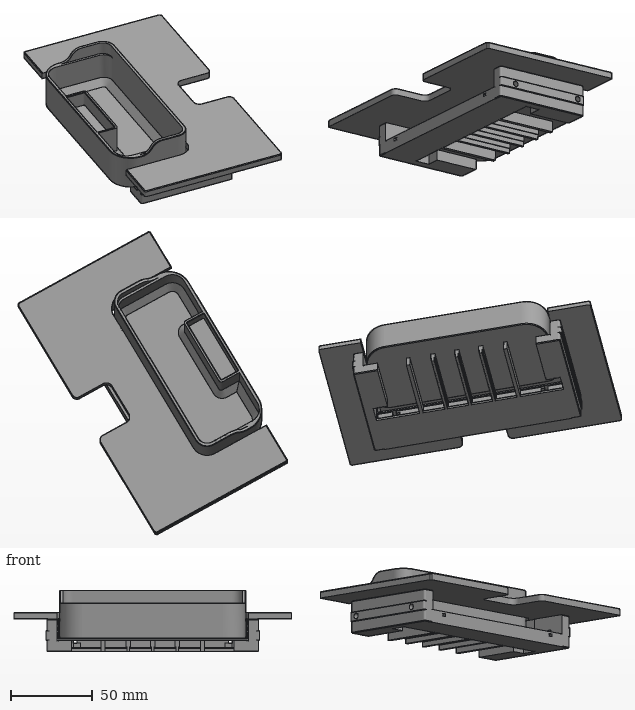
import cadquery as cq
import math

CLEARANCE = 1.61
EDGE_BREAK = 0.5
CORNER_ROUND = 1.2

TRAY_WIDTH = 113.8
TRAY_BACK = 48.9
TRAY_FRONT = 96.8
TRAY_BOTTOM = 7.8
TRAY_TOP = 37.5
TRAY_FRONT_TOP = 29.7
TRAY_BACK_RADIUS = 8.0
TRAY_FRONT_RADIUS = 14.0
TRAY_WALL = 2.0
RIM_BREAK = 0.3
TRAY_LOW_SIDE_WALL = 3.5
TRAY_FLOOR = 8.8
FLOOR_SLOPE = 4.2
SLOPE_ANGLE = 45.0
CAVITY_BACK_RADIUS = 6.0
CAVITY_FRONT_RADIUS = 8.5
RIM_DROP_START = 68.3
RIM_DROP_END = 81.8

BLOCK_WIDTH = 45.2
BLOCK_BACK = 81.3
BLOCK_WALL = 1.5
BLOCK_RADIUS = 1.7
BLOCK_BACK_SLOPE = 3.7
POCKET_RADIUS = 0.5
POCKET_FLOOR = 20.4

DOME_DIAMETER = 10.2
DOME_HEIGHT = 1.0
DOME_FROM_BACK = 71.7
DOME_LEVEL = 14.0

PLATE_WIDTH = 169.8
PLATE_DEPTH = 93.4
PLATE_BOTTOM = 20.0
PLATE_TOP = 24.1
PLATE_BACK_CHAMFER = 0.8
NOTCH_WIDTH = 28.5
NOTCH_DEPTH = 24.0
NOTCH_MOUTH_RADIUS = 3.0
NOTCH_INNER_RADIUS = 4.0

FRAME_WIDTH = 129.4
FRAME_BACK = 24.0
FRAME_FRONT = 86.1
LEDGE_TOP = 6.8
LEDGE_INNER_HALF = 49.5
RAIL_OUT = 0.7
RAIL_BOTTOM = 7.0
RAIL_TOP = 12.9
RAIL_CHAMFER = 0.3
SIDE_HOLE_DIAMETER = 3.4
SIDE_HOLE_LEVEL = 10.0
SIDE_HOLES_FROM_BACK = (34.8, 81.2)
SLAB_TOP = 8.0
SLAB_CHANNEL_HALF = 57.7
SLAB_RECESS = 0.8
LIP_HEIGHT = 1.9
LIP_CHAMFER = 0.7
TUNNEL_OUTER_HALF = 48.5
TUNNEL_INNER_HALF = 46.4
TUNNEL_BOTTOM = 5.3
SLAB_POCKET_INNER_HALF = 44.1
SLAB_POCKET_DEPTH = 1.7
INNER_RIB_OFFSETS = (-15.0, 0, 15.0)
OUTER_RIB_OFFSETS = (-30.4, 30.4)
OUTER_RIB_WIDTH = 2.2
INNER_RIB_WIDTH = 2.7
INNER_RIB_FOOT_WIDTH = 1.7
RIB_FOOT_HEIGHT = 2.9

OPENING_HALF = TRAY_WIDTH / 2 + CLEARANCE
OPENING_BACK = TRAY_BACK - CLEARANCE
OPENING_RADIUS = TRAY_BACK_RADIUS + CLEARANCE


def box(x0, x1, back, front, bottom, top):
    """Box between two X values, two distances from the back edge and two levels."""
    return (
        cq.Workplane("XY")
        .box(x1 - x0, front - back, top - bottom, centered=False)
        .translate((x0, -front, bottom))
    )


def rounded_box(half_width, back, front, bottom, top, back_radius, front_radius):
    """Box centred on X whose back and front vertical corners have their own radii."""
    block = box(-half_width, half_width, back, front, bottom, top)
    block = block.edges("|Z and >Y").fillet(back_radius)
    return block.edges("|Z and <Y").fillet(front_radius)


def both_sides(half):
    """A feature on the -X side together with its mirror image."""
    return half.union(half.mirror("YZ"))


def rim_cutter():
    """Everything above the rim: an S of two equal tangent arcs joins the back and front levels."""
    drop = TRAY_TOP - TRAY_FRONT_TOP
    run = RIM_DROP_END - RIM_DROP_START
    half_angle = math.atan2(drop, run)
    radius = run / (2 * math.sin(2 * half_angle))
    side_step = radius * math.sin(half_angle)
    down_step = radius * (1 - math.cos(half_angle))
    above = TRAY_TOP + TRAY_WALL
    ahead = TRAY_FRONT + TRAY_WALL
    middle = (-(RIM_DROP_START + RIM_DROP_END) / 2, (TRAY_TOP + TRAY_FRONT_TOP) / 2)
    return (
        cq.Workplane("YZ")
        .moveTo(-RIM_DROP_START, above)
        .lineTo(-RIM_DROP_START, TRAY_TOP)
        .threePointArc((-RIM_DROP_START - side_step, TRAY_TOP - down_step), middle)
        .threePointArc(
            (-RIM_DROP_END + side_step, TRAY_FRONT_TOP + down_step), (-RIM_DROP_END, TRAY_FRONT_TOP)
        )
        .lineTo(-ahead, TRAY_FRONT_TOP)
        .lineTo(-ahead, above)
        .close()
        .extrude(TRAY_WIDTH, both=True)
    )


def grow_tapered(face):
    """Solid grown outwards from a flat face, narrowing at the angle of the floor slope."""
    outline = face.workplane().add(face.wires()).toPending()
    return outline.extrude(FLOOR_SLOPE, taper=SLOPE_ANGLE, combine=False)


def tray_cavity():
    """Lower cavity with a sloped foot, and a wider upper cavity above the front rim level."""
    back = TRAY_BACK + TRAY_WALL
    front = TRAY_FRONT - TRAY_WALL
    slope_top = TRAY_FLOOR + FLOOR_SLOPE
    lower = rounded_box(
        TRAY_WIDTH / 2 - TRAY_LOW_SIDE_WALL, back, front, slope_top, TRAY_TOP,
        CAVITY_BACK_RADIUS, CAVITY_FRONT_RADIUS,
    )
    slope_foot = grow_tapered(lower.faces("<Z"))
    upper = rounded_box(
        TRAY_WIDTH / 2 - TRAY_WALL, back, front, TRAY_FRONT_TOP, TRAY_TOP,
        TRAY_BACK_RADIUS - TRAY_WALL, TRAY_FRONT_RADIUS - TRAY_WALL,
    )
    return lower.union(slope_foot).union(upper)


def pocket_block():
    """Raised block at the front wall, with a sloped foot as high as the floor slope."""
    half = BLOCK_WIDTH / 2
    front = TRAY_FRONT - TRAY_WALL / 2
    block = box(-half, half, BLOCK_BACK, front, TRAY_FLOOR, TRAY_FRONT_TOP)
    block = block.edges("|Z and >Y").fillet(BLOCK_RADIUS)
    base = box(
        -half - FLOOR_SLOPE, half + FLOOR_SLOPE,
        BLOCK_BACK - BLOCK_BACK_SLOPE, front + FLOOR_SLOPE, TRAY_BOTTOM, TRAY_FLOOR,
    )
    base = base.edges("|Z and >Y").fillet(BLOCK_RADIUS + FLOOR_SLOPE)
    foot = grow_tapered(base.faces(">Z"))
    foot = foot.intersect(box(-TRAY_WIDTH, TRAY_WIDTH, TRAY_BACK, front, TRAY_FLOOR, TRAY_TOP))
    return block.union(foot)


def pocket():
    """Round-cornered recess sunk into the block from above."""
    half = BLOCK_WIDTH / 2 - BLOCK_WALL
    recess = box(
        -half, half, BLOCK_BACK + BLOCK_WALL, TRAY_FRONT - TRAY_WALL, POCKET_FLOOR, TRAY_TOP
    )
    return recess.edges("|Z").fillet(POCKET_RADIUS)


def pocket_mouth():
    """Selector for the edges round the top of the pocket."""
    half = BLOCK_WIDTH / 2 - BLOCK_WALL
    margin = RIM_BREAK
    return cq.selectors.BoxSelector(
        (-half - margin, -TRAY_FRONT + TRAY_WALL - margin, TRAY_FRONT_TOP - margin),
        (half + margin, -BLOCK_BACK - BLOCK_WALL + margin, TRAY_FRONT_TOP + margin),
    )


def detent_dome():
    """Shallow spherical dome on the -X side wall; the rest of the ball stays inside the wall."""
    radius = ((DOME_DIAMETER / 2) ** 2 + DOME_HEIGHT ** 2) / (2 * DOME_HEIGHT)
    side = -TRAY_WIDTH / 2
    ball = cq.Workplane("XY").sphere(radius).translate(
        (side - DOME_HEIGHT + radius, -DOME_FROM_BACK, DOME_LEVEL)
    )
    reach = DOME_DIAMETER / 2
    window = box(
        side - DOME_HEIGHT, side + TRAY_WALL, DOME_FROM_BACK - reach, DOME_FROM_BACK + reach,
        DOME_LEVEL - reach, DOME_LEVEL + reach,
    )
    return ball.intersect(window)


def make_tray():
    body = rounded_box(
        TRAY_WIDTH / 2, TRAY_BACK, TRAY_FRONT, TRAY_BOTTOM, TRAY_TOP,
        TRAY_BACK_RADIUS, TRAY_FRONT_RADIUS,
    )
    body = body.faces("<Z").chamfer(EDGE_BREAK)
    body = body.cut(rim_cutter())
    body = body.faces(">Z").edges(">Y").chamfer(RIM_BREAK)
    body = body.cut(tray_cavity()).union(pocket_block()).cut(pocket())
    body = body.edges(pocket_mouth()).chamfer(RIM_BREAK)
    return body.union(both_sides(detent_dome()))


def plate_opening():
    """Opening for the tray, running out through the front edge of the plate."""
    opening = box(
        -OPENING_HALF, OPENING_HALF, OPENING_BACK, PLATE_DEPTH, PLATE_BOTTOM, PLATE_TOP
    )
    return opening.edges("|Z and >Y").fillet(OPENING_RADIUS)


def make_plate():
    half = PLATE_WIDTH / 2
    plate = box(-half, half, 0, PLATE_DEPTH, PLATE_BOTTOM, PLATE_TOP)
    plate = plate.edges("|Z and <Y").fillet(CORNER_ROUND)
    plate = plate.edges("|Z and >Y").chamfer(PLATE_BACK_CHAMFER)
    plate = plate.faces(">Z").edges("not >Y").chamfer(EDGE_BREAK)
    notch_half = NOTCH_WIDTH / 2
    notch = box(-notch_half, notch_half, 0, NOTCH_DEPTH, PLATE_BOTTOM, PLATE_TOP)
    notch = notch.edges("|Z and <Y").fillet(NOTCH_INNER_RADIUS)
    plate = plate.cut(plate_opening()).cut(notch)
    margin = NOTCH_MOUTH_RADIUS / 2
    mouth = cq.selectors.BoxSelector(
        (-notch_half - margin, -margin, PLATE_BOTTOM), (notch_half + margin, margin, PLATE_TOP)
    )
    return plate.edges("|Z").edges(mouth).fillet(NOTCH_MOUTH_RADIUS)


def frame_rail():
    """Raised strip along the outside of the -X wall."""
    side = -FRAME_WIDTH / 2
    rail = box(
        side - RAIL_OUT, side + CORNER_ROUND, FRAME_BACK, FRAME_FRONT, RAIL_BOTTOM, RAIL_TOP
    )
    rail = rail.edges("|Z and <X").fillet(CORNER_ROUND)
    return rail.edges("<X").edges("|Y").chamfer(RAIL_CHAMFER)


def back_slab():
    """Slab behind the tray: overhanging top, lip along its foot, tunnel and pocket near each end."""
    front = OPENING_BACK - SLAB_RECESS
    half = OPENING_HALF
    slab = box(-half, half, FRAME_BACK, front, 0, LEDGE_TOP)
    slab = slab.union(box(-half, half, FRAME_BACK, OPENING_BACK, LEDGE_TOP, SLAB_TOP))
    lip = box(-half, half, front - SLAB_RECESS, OPENING_BACK, 0, LIP_HEIGHT + LIP_CHAMFER)
    lip = lip.edges(">Z and <Y").chamfer(LIP_CHAMFER)
    tunnel = box(
        -TUNNEL_OUTER_HALF, -TUNNEL_INNER_HALF, FRAME_BACK, front, TUNNEL_BOTTOM, LEDGE_TOP
    )
    pocket_cut = box(
        -TUNNEL_OUTER_HALF, -SLAB_POCKET_INNER_HALF, front - SLAB_POCKET_DEPTH, front,
        LIP_HEIGHT + LIP_CHAMFER, TUNNEL_BOTTOM,
    )
    return slab.union(lip).cut(both_sides(tunnel.union(pocket_cut)))


def vent_rib(centre, width, foot_width):
    """Rib reaching from the back slab to the front, standing on a foot of its own width."""
    back = OPENING_BACK - SLAB_RECESS
    half = width / 2
    foot_half = foot_width / 2
    head = box(centre - half, centre + half, back, FRAME_FRONT, RIB_FOOT_HEIGHT, LEDGE_TOP)
    foot = box(centre - foot_half, centre + foot_half, back, FRAME_FRONT, 0, RIB_FOOT_HEIGHT)
    return head.union(foot).clean()


def make_frame():
    half = FRAME_WIDTH / 2
    frame = box(-half, half, FRAME_BACK, FRAME_FRONT, 0, PLATE_BOTTOM)
    frame = frame.edges("|Z").fillet(CORNER_ROUND)
    frame = frame.faces("<Z or >Z").chamfer(EDGE_BREAK)
    frame = frame.union(both_sides(frame_rail()))

    half = OPENING_HALF
    frame = frame.cut(box(-half, half, OPENING_BACK, FRAME_FRONT, LEDGE_TOP, PLATE_BOTTOM))
    half = LEDGE_INNER_HALF
    frame = frame.cut(box(-half, half, FRAME_BACK, FRAME_FRONT, 0, LEDGE_TOP))

    half = OPENING_HALF
    slot_front = OPENING_BACK + OPENING_RADIUS
    frame = frame.cut(box(-half, half, OPENING_BACK, slot_front, 0, LEDGE_TOP))

    half = SLAB_CHANNEL_HALF
    frame = frame.cut(box(-half, half, FRAME_BACK, OPENING_BACK, 0, PLATE_BOTTOM))
    frame = frame.union(back_slab())

    for offset in INNER_RIB_OFFSETS:
        frame = frame.union(vent_rib(offset, INNER_RIB_WIDTH, INNER_RIB_FOOT_WIDTH))
    for offset in OUTER_RIB_OFFSETS:
        frame = frame.union(vent_rib(offset, OUTER_RIB_WIDTH, OUTER_RIB_WIDTH))

    for from_back in SIDE_HOLES_FROM_BACK:
        hole = cq.Workplane("YZ").center(-from_back, SIDE_HOLE_LEVEL)
        frame = frame.cut(hole.circle(SIDE_HOLE_DIAMETER / 2).extrude(PLATE_WIDTH, both=True))
    return frame


tray = make_tray().solids()
plate = make_plate().solids()
frame = make_frame().solids()
result = cq.Compound.makeCompound([tray.val(), plate.val(), frame.val()])